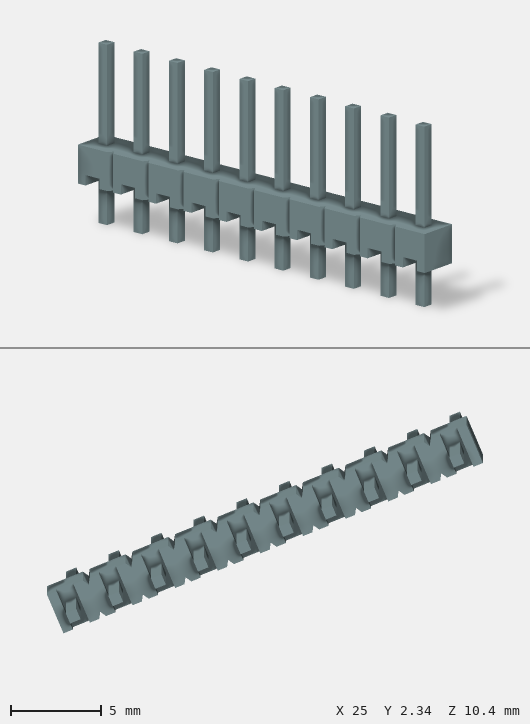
import cadquery as cq

pin_count = 10
pitch = 2.54
pin_width = 0.625
pin_length = 10.42
pin_tail = 2.33

cell_length = 2.13
housing_depth = 2.34
housing_height = 2.25
housing_length = (pin_count - 1) * pitch + cell_length

groove_width = pitch - cell_length
groove_depth = 0.34

slot_width = 1.02
slot_height = 0.6

pin_positions = [(i - (pin_count - 1) / 2) * pitch for i in range(pin_count)]
groove_positions = [x + pitch / 2 for x in pin_positions[:-1]]


def box_on(x, width, depth, bottom, height):
    """Box centred at (x, 0) that rises from the given bottom height."""
    return cq.Workplane("XY", origin=(x, 0, bottom)).rect(width, depth).extrude(height)


def v_groove(x, side):
    """Vertical V-shaped cutter in the long face on the given Y side (+1 or -1)."""
    face_y = side * housing_depth / 2
    return (
        cq.Workplane("XY")
        .moveTo(x - groove_width / 2, face_y)
        .lineTo(x, face_y - side * groove_depth)
        .lineTo(x + groove_width / 2, face_y)
        .close()
        .extrude(housing_height)
    )


def make_housing():
    housing = box_on(0, housing_length, housing_depth, 0, housing_height)
    for x in groove_positions:
        for side in (1, -1):
            housing = housing.cut(v_groove(x, side))
    for x in pin_positions:
        housing = housing.cut(box_on(x, slot_width, housing_depth, 0, slot_height))
    return housing


def make_pin(x):
    return box_on(x, pin_width, pin_width, -pin_tail, pin_length)


result = make_housing()
for pin_x in pin_positions:
    result = result.union(make_pin(pin_x))